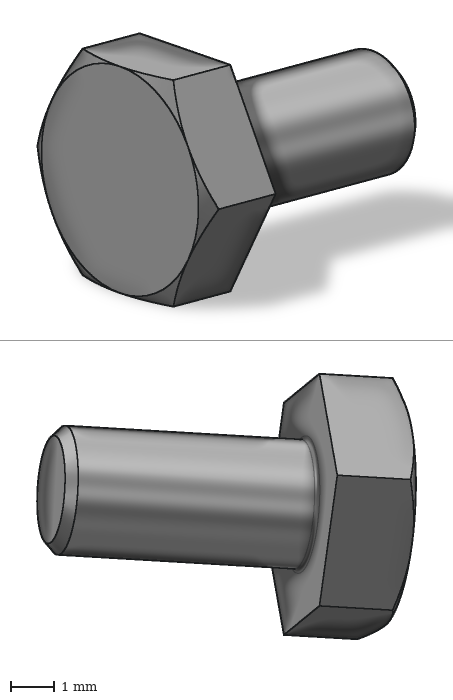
import cadquery as cq
import math

total_length = 8.0
head_height = 2.0
across_flats = 5.5
shank_diameter = 3.0
tip_chamfer = 0.25
neck_fillet = 0.1
head_chamfer_angle = 30.0

across_corners = across_flats / math.cos(math.radians(30))
flat_radius = across_flats / 2
corner_radius = across_corners / 2
shank_radius = shank_diameter / 2


def revolve_about_y(profile):
    """Close a profile of radius (X) and length (Y) and turn it about the Y axis."""
    return profile.close().revolve(360, (0, 0, 0), (0, 1, 0))


def make_head():
    """Hexagon with corners on +X and -X, its corners bevelled at the outer face."""
    hexagon = (
        cq.Workplane("XZ")
        .polygon(6, across_corners)
        .extrude(-head_height)
    )
    envelope_radius = corner_radius + flat_radius
    cone_rise = (envelope_radius - flat_radius) * math.tan(math.radians(head_chamfer_angle))
    envelope = revolve_about_y(
        cq.Workplane("XY")
        .lineTo(flat_radius, 0)
        .lineTo(envelope_radius, cone_rise)
        .lineTo(envelope_radius, head_height)
        .lineTo(0, head_height)
    )
    return hexagon.intersect(envelope)


def make_shank():
    """Round shank with a fillet against the head and a chamfered tip."""
    fillet_diagonal = neck_fillet * (1 - math.sqrt(0.5))
    return revolve_about_y(
        cq.Workplane("XY")
        .moveTo(0, head_height)
        .lineTo(shank_radius + neck_fillet, head_height)
        .threePointArc(
            (shank_radius + fillet_diagonal, head_height + fillet_diagonal),
            (shank_radius, head_height + neck_fillet),
        )
        .lineTo(shank_radius, total_length - tip_chamfer)
        .lineTo(shank_radius - tip_chamfer, total_length)
        .lineTo(0, total_length)
    )


result = make_head().union(make_shank())